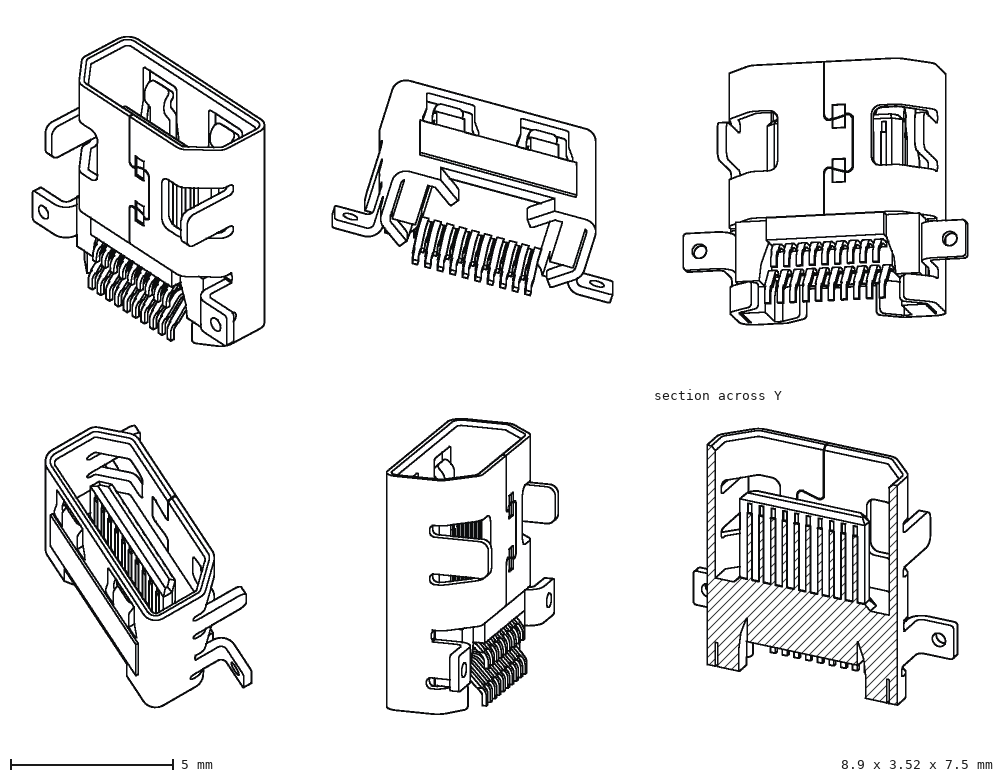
import cadquery as cq
import math


WIDTH = 6.5
DEPTH = 2.89
HEIGHT = 7.5
WALL = 0.285
BACK_RADIUS = 0.445
BEVEL_X, BEVEL_Y = 0.92, 0.96
BEVEL_SIDE_RADIUS = 0.39
BEVEL_FRONT_RADIUS = 0.445
MOUTH_CHAMFER = 0.13
HALF_WIDTH = WIDTH / 2
INNER_HALF = HALF_WIDTH - WALL
INNER_BACK = DEPTH - WALL

FRONT_BOTTOM = 2.69
SIDE_FRONT = 1.14
BEYOND = 0.445

WINDOW_BOTTOM, WINDOW_TOP = 4.16, 6.05
WINDOW_INNER_X = 1.48
WINDOW_RADIUS = 0.29
LEG_BOTTOM, LEG_TOP = 4.495, 5.68
LEG_REACH = 0.55
LEG_RADIUS = 0.285
LEG_SLOT_END = 1.36

FLANGE_BOTTOM, FLANGE_TOP = 1.16, 2.31
FLANGE_HALF_SPAN = 4.45
FLANGE_BEND_RADIUS = 0.2
FLANGE_CORNER_RADIUS = 0.12
FLANGE_HOLE_X = 3.94
FLANGE_HOLE_DIAMETER = 0.445
UPPER_SLOT_END = 1.31
LOWER_SLOT_END = 1.47
SLOT_RADIUS = 0.16

LIP_TOP = 0.81
LIP_START_Y = 1.28
LIP_BEND_RADIUS = 0.5
LIP_ANGLE = 54.0
LIP_LENGTH = 0.8
LIP_CORNER_RADIUS = 0.13

TAB_TOP = 1.04
TAB_HINGE_X = 1.87
TAB_LENGTH = 0.85
TAB_CORNER_RADIUS = 0.13
BACK_PAD_HALF = 2.5
BACK_PAD_THICKNESS = 0.08
BACK_PAD_BOTTOM, BACK_PAD_TOP = 1.61, 4.29
SPRING_X = 1.5
SPRING_WIDTH = 0.89
SPRING_ROOT, SPRING_WINDOW_TOP = 4.44, 6.91
SPRING_WINDOW_RADIUS = 0.12
SPRING_WINDOW_HALF_TOP, SPRING_WINDOW_HALF_BOTTOM = 0.765, 0.89
SPRING_TAPER_BOTTOM, SPRING_TAPER_TOP = 4.81, 5.6
SPRING_CREST_Y = 2.38
SPRING_BEND_Z, SPRING_CREST_BOTTOM, SPRING_CREST_TOP, SPRING_TIP_Z = 5.56, 5.945, 6.27, 6.5
SPRING_BEND_RADIUS = 0.11
SPRING_TIP_RADIUS = 0.18

SEAM_GAP = 0.03
SEAM_KEY_X = 0.91
SEAM_KEY_RADIUS = 0.2
SEAM_NECK_RADIUS = 0.16
SEAM_CENTRE_Z = 4.91
SEAM_HALF_NECK = 0.93
STAKE_X = 0.445
STAKE_WIDTH, STAKE_HEIGHT, STAKE_DEPTH = 0.39, 0.73, 0.07
STAKE_OFFSET = 0.85

FLOOR_Z = 3.03
BODY_HALF = 1.9
BODY_BOTTOM = 1.07
BODY_FRONT = 1.07
BLOCK_HALF, BLOCK_BOTTOM, BLOCK_FRONT = 1.85, 1.99, 0.06
WING_OUTER, WING_INNER = 2.89, 2.15
WING_FRONT, WING_BOTTOM = 0.43, 0.81
WING_STEP_X, WING_STEP_Z = 2.09, 1.335
POST_FRONT = 1.25
KEY_HALF, KEY_BACK, KEY_FRONT, KEY_HEIGHT = 0.7, 2.55, 2.41, 0.18

TONGUE_HALF = 2.14
TONGUE_FRONT, TONGUE_BACK = 1.16, 1.75
TONGUE_BEVEL = 0.285
TONGUE_TIP = 6.06
TIP_CHAMFER = 0.17
FLARE = 0.2

PITCH = 0.4
FRONT_ROW, BACK_ROW = 9, 10
CONTACT_WIDTH, CONTACT_TOP, CONTACT_RISE = 0.17, 5.465, 0.02
GROOVE_WIDTH, GROOVE_TOP, GROOVE_DEPTH = 0.13, 5.79, 0.045
PIN_THICKNESS = 0.13
PIN_WIDE, PIN_NARROW = 0.22, 0.17
UPPER_TAIL_BEND, LOWER_TAIL_BEND = 0.29, 0.13
FOOT_Y = PIN_THICKNESS / 2
UPPER_EXIT_Z, UPPER_BEND_Y, UPPER_FOOT_TOP, UPPER_FOOT_BOTTOM, UPPER_STEP_Z = 1.9, 0.46, 1.48, 1.14, 1.65
LOWER_EXIT_Z, LOWER_BEND_Y, LOWER_FOOT_TOP, LOWER_FOOT_BOTTOM, LOWER_STEP_Z = 1.13, 0.75, 0.41, 0.0, 0.56


def box(x0, x1, y0, y1, z0, z1):
    return cq.Workplane("XY").box(x1 - x0, y1 - y0, z1 - z0, centered=False).translate((x0, y0, z0))


def both_sides(solid):
    return solid.union(solid.mirror("YZ"))


def strip_outline(path, thickness):
    """Outline of a strip of constant thickness, mitred along a centre path."""
    headings = [math.atan2(b[1] - a[1], b[0] - a[0]) for a, b in zip(path, path[1:])]
    left, right = [], []
    for i, (u, v) in enumerate(path):
        before = headings[max(i - 1, 0)]
        after = headings[min(i, len(headings) - 1)]
        normal = (before + after) / 2 + math.pi / 2
        reach = thickness / 2 / math.cos((after - before) / 2)
        left.append((u + reach * math.cos(normal), v + reach * math.sin(normal)))
        right.append((u - reach * math.cos(normal), v - reach * math.sin(normal)))
    return left + right[::-1]


def strip_along_x(path, thickness, width, bend_radius):
    """Strip bent along a centre path of (y, z) points, with rounded bends, centred on x = 0."""
    outline = strip_outline(path, thickness)
    strip = cq.Workplane("YZ").polyline(outline).close().extrude(width / 2, both=True)
    for i in range(1, len(path) - 1):
        (y0, z0), (y1, z1), (y2, z2) = path[i - 1:i + 2]
        turns_left = (y1 - y0) * (z2 - z1) > (z1 - z0) * (y2 - y1)
        inside, outside = outline[i], outline[-1 - i]
        if not turns_left:
            inside, outside = outside, inside
        for corner, radius in ((inside, bend_radius), (outside, bend_radius + thickness)):
            strip = strip.edges("|X").edges(cq.NearestToPointSelector((0, *corner))).fillet(radius)
    return strip


def side_slot(z0, z1, end_y):
    """Slot through the left side wall, open at the front and rounded at its back end."""
    slot = box(-HALF_WIDTH - 0.09, -INNER_HALF + 0.09, -BEYOND, end_y, z0, z1)
    return slot.edges("|X and >Y").fillet(SLOT_RADIUS)


def row_positions(count):
    return [(i - (count - 1) / 2) * PITCH for i in range(count)]


def shell_prism(height):
    prism = (
        cq.Workplane("XY")
        .moveTo(-HALF_WIDTH, DEPTH)
        .lineTo(-HALF_WIDTH, BEVEL_Y)
        .lineTo(-HALF_WIDTH + BEVEL_X, 0)
        .lineTo(HALF_WIDTH - BEVEL_X, 0)
        .lineTo(HALF_WIDTH, BEVEL_Y)
        .lineTo(HALF_WIDTH, DEPTH)
        .close()
        .extrude(height)
    )
    prism = prism.edges("|Z and >Y").fillet(BACK_RADIUS)
    prism = prism.edges("|Z and <Y").fillet(BEVEL_FRONT_RADIUS)
    for side in (-1, 1):
        bend = cq.NearestToPointSelector((side * HALF_WIDTH, BEVEL_Y, height / 2))
        prism = prism.edges("|Z").edges(bend).fillet(BEVEL_SIDE_RADIUS)
    return prism


def cavity_prism(height):
    """Space inside the shell walls."""
    return shell_prism(height).faces("<Z").wires().toPending().offset2D(-WALL).extrude(height, combine=False)


def shell_tube():
    tube = shell_prism(HEIGHT).cut(cavity_prism(HEIGHT))
    mouth = cq.selectors.BoxSelector(
        (-INNER_HALF - 0.045, WALL - 0.045, HEIGHT - 0.045), (INNER_HALF + 0.045, INNER_BACK + 0.045, HEIGHT + 0.045),
        boundingbox=True)
    return tube.edges(mouth).chamfer(MOUTH_CHAMFER)


def front_window():
    opening = box(-HALF_WIDTH - 0.09, -WINDOW_INNER_X, -0.09, SIDE_FRONT, WINDOW_BOTTOM, WINDOW_TOP)
    opening = opening.edges("|Y and >X").fillet(WINDOW_RADIUS)
    lower = side_slot(WINDOW_BOTTOM, LEG_BOTTOM, LEG_SLOT_END)
    upper = side_slot(LEG_TOP, WINDOW_TOP, LEG_SLOT_END)
    return opening.union(lower).union(upper)


def leg():
    plate = box(-HALF_WIDTH, -INNER_HALF, -LEG_REACH, LEG_SLOT_END, LEG_BOTTOM, LEG_TOP)
    return plate.edges("|X and <Y").fillet(LEG_RADIUS)


def flange():
    inner_r = FLANGE_BEND_RADIUS
    outer_r = inner_r + WALL
    bend_x = -HALF_WIDTH - inner_r
    bend_y = WALL + inner_r
    diagonal = math.sqrt(0.5)
    plate = (
        cq.Workplane("XY")
        .workplane(offset=FLANGE_BOTTOM)
        .moveTo(-INNER_HALF, LOWER_SLOT_END)
        .lineTo(-INNER_HALF, bend_y)
        .threePointArc((bend_x + outer_r * diagonal, bend_y - outer_r * diagonal), (bend_x, 0))
        .lineTo(-FLANGE_HALF_SPAN, 0)
        .lineTo(-FLANGE_HALF_SPAN, WALL)
        .lineTo(bend_x, WALL)
        .threePointArc((bend_x + inner_r * diagonal, bend_y - inner_r * diagonal), (-HALF_WIDTH, bend_y))
        .lineTo(-HALF_WIDTH, LOWER_SLOT_END)
        .close()
        .extrude(FLANGE_TOP - FLANGE_BOTTOM)
    )
    plate = plate.edges("|Y and <X").fillet(FLANGE_CORNER_RADIUS)
    hole = (
        cq.Workplane("XZ")
        .center(-FLANGE_HOLE_X, (FLANGE_BOTTOM + FLANGE_TOP) / 2)
        .circle(FLANGE_HOLE_DIAMETER / 2)
        .extrude(WALL + BEYOND, both=True)
    )
    return plate.cut(hole)


def lip():
    """Side wall end folded inward at the bottom front corner."""
    angle = math.radians(LIP_ANGLE)
    outer_r = LIP_BEND_RADIUS
    inner_r = outer_r - WALL
    centre_x = -HALF_WIDTH + outer_r

    def on_bend(radius, turn):
        return (centre_x - radius * math.cos(turn), LIP_START_Y - radius * math.sin(turn))

    def past_bend(radius):
        x, y = on_bend(radius, angle)
        return (x + LIP_LENGTH * math.sin(angle), y - LIP_LENGTH * math.cos(angle))

    plate = (
        cq.Workplane("XY")
        .moveTo(-HALF_WIDTH, LOWER_SLOT_END)
        .lineTo(*on_bend(outer_r, 0))
        .threePointArc(on_bend(outer_r, angle / 2), on_bend(outer_r, angle))
        .lineTo(*past_bend(outer_r))
        .lineTo(*past_bend(inner_r))
        .lineTo(*on_bend(inner_r, angle))
        .threePointArc(on_bend(inner_r, angle / 2), on_bend(inner_r, 0))
        .lineTo(-INNER_HALF, LOWER_SLOT_END)
        .close()
        .extrude(LIP_TOP)
    )
    free_end = cq.selectors.BoxSelector(
        (past_bend(outer_r)[0] - 0.02, -0.09, -0.09), (0, LIP_START_Y, LIP_TOP + 0.09))
    return plate.edges("#Z").edges(free_end).edges("not |Z").fillet(LIP_CORNER_RADIUS)


def back_tab():
    """Tab of the back wall folded into the shell at the bottom."""
    angle = math.radians(90 - LIP_ANGLE)
    middle_y = DEPTH - WALL / 2
    path = [
        (-TAB_HINGE_X - WALL, middle_y),
        (-TAB_HINGE_X, middle_y),
        (-TAB_HINGE_X + TAB_LENGTH * math.cos(angle), middle_y - TAB_LENGTH * math.sin(angle)),
    ]
    tab = cq.Workplane("XY").polyline(strip_outline(path, WALL)).close().extrude(TAB_TOP)
    return tab.faces(">X").edges("#Z").fillet(TAB_CORNER_RADIUS)


def spring_window():
    half_top = SPRING_WINDOW_HALF_TOP
    half_bottom = SPRING_WINDOW_HALF_BOTTOM
    opening = (
        cq.Workplane("XZ")
        .polyline([
            (-half_top, SPRING_WINDOW_TOP),
            (-half_top, SPRING_TAPER_TOP),
            (-half_bottom, SPRING_TAPER_BOTTOM),
            (-half_bottom, SPRING_ROOT),
            (half_bottom, SPRING_ROOT),
            (half_bottom, SPRING_TAPER_BOTTOM),
            (half_top, SPRING_TAPER_TOP),
            (half_top, SPRING_WINDOW_TOP),
        ])
        .close()
        .extrude(-2 * WALL)
    )
    opening = opening.edges("|Y").edges(">Z or <Z").fillet(SPRING_WINDOW_RADIUS)
    return opening.translate((-SPRING_X, INNER_BACK - WALL / 2, 0))


def spring():
    middle_y = DEPTH - WALL / 2
    crest_y = SPRING_CREST_Y + WALL / 2
    path = [
        (middle_y, SPRING_ROOT - 0.09),
        (middle_y, SPRING_BEND_Z),
        (crest_y, SPRING_CREST_BOTTOM),
        (crest_y, SPRING_CREST_TOP),
        (middle_y, SPRING_TIP_Z),
    ]
    strip = strip_along_x(path, WALL, SPRING_WIDTH, SPRING_BEND_RADIUS)
    tip = strip.faces(cq.NearestToPointSelector((0, *path[-1]))).edges("not |X")
    return tip.fillet(SPRING_TIP_RADIUS).translate((-SPRING_X, 0, 0))


def seam():
    """Thin dovetail gap where the two ends of the shell sheet meet."""
    far_x = SEAM_KEY_X + BEYOND
    top = HEIGHT + BEYOND
    bottom = FRONT_BOTTOM - BEYOND
    upper, lower = SEAM_CENTRE_Z + SEAM_HALF_NECK, SEAM_CENTRE_Z - SEAM_HALF_NECK
    neck = SEAM_NECK_RADIUS
    key = SEAM_KEY_RADIUS
    neck_mid = neck * (1 - math.sqrt(0.5))
    key_mid = key * (1 - math.sqrt(0.5))
    right_part = (
        cq.Workplane("XZ")
        .moveTo(0, top)
        .lineTo(0, upper)
        .threePointArc((neck_mid, upper - neck + neck_mid), (neck, upper - neck))
        .lineTo(SEAM_KEY_X - key, upper)
        .threePointArc((SEAM_KEY_X - key_mid, upper - key_mid), (SEAM_KEY_X, upper - key))
        .lineTo(SEAM_KEY_X, lower + key)
        .threePointArc((SEAM_KEY_X - key_mid, lower + key_mid), (SEAM_KEY_X - key, lower))
        .lineTo(neck, lower + neck)
        .threePointArc((neck_mid, lower + neck - neck_mid), (0, lower))
        .lineTo(0, bottom)
        .lineTo(far_x, bottom)
        .lineTo(far_x, top)
        .close()
    )
    region = right_part.extrude(-WALL)
    grown = region.faces("<Y").wires().toPending().offset2D(SEAM_GAP).extrude(-WALL, combine=False)
    band = box(-0.09, far_x - 0.09, 0, WALL, FRONT_BOTTOM, HEIGHT)
    return grown.cut(region).intersect(band)


def build_shell():
    shell = shell_tube()
    shell = shell.cut(box(-HALF_WIDTH - 0.09, HALF_WIDTH + 0.09, -0.09, LIP_START_Y, -0.09, FRONT_BOTTOM))
    shell = shell.cut(both_sides(front_window()))
    shell = shell.cut(both_sides(side_slot(FLANGE_TOP, FRONT_BOTTOM, UPPER_SLOT_END)))
    shell = shell.cut(box(-TAB_HINGE_X, TAB_HINGE_X, INNER_BACK - 0.09, DEPTH + 0.09, -0.09, TAB_TOP))
    shell = shell.cut(both_sides(spring_window()))
    shell = shell.cut(seam())
    for side in (-1, 1):
        stake = cq.Workplane("XY").box(STAKE_WIDTH, 2 * STAKE_DEPTH, STAKE_HEIGHT)
        shell = shell.cut(stake.translate((STAKE_X, 0, SEAM_CENTRE_Z + side * STAKE_OFFSET)))
    for part in (leg(), flange(), lip(), back_tab(), spring()):
        shell = shell.union(both_sides(part))
    shell = shell.cut(both_sides(side_slot(LIP_TOP, FLANGE_BOTTOM, LOWER_SLOT_END)))
    return shell.union(box(-BACK_PAD_HALF, BACK_PAD_HALF, INNER_BACK, DEPTH + BACK_PAD_THICKNESS,
                           BACK_PAD_BOTTOM, BACK_PAD_TOP))


def tongue_outline(spread):
    """Tongue cross-section with bevelled front corners, offset outward by a spread."""
    half = TONGUE_HALF + spread
    front = TONGUE_FRONT - spread
    back = TONGUE_BACK + spread
    bevel = TONGUE_BEVEL + spread * (2 - math.sqrt(2))
    return [
        (-half, back),
        (-half, front + bevel),
        (-half + bevel, front),
        (half - bevel, front),
        (half, front + bevel),
        (half, back),
    ]


def tongue():
    base = cq.Workplane("XY").workplane(offset=FLOOR_Z)
    blade = base.polyline(tongue_outline(0)).close().extrude(TONGUE_TIP - FLOOR_Z)
    blade = blade.faces(">Z").chamfer(TIP_CHAMFER)
    root = base.polyline(tongue_outline(FLARE)).close().extrude(FLARE, taper=45)
    return blade.union(root)


def wing():
    outline = [
        (-WING_OUTER, FRONT_BOTTOM),
        (-BLOCK_HALF, FRONT_BOTTOM),
        (-BLOCK_HALF, BLOCK_BOTTOM),
        (-WING_STEP_X, WING_STEP_Z),
        (-WING_INNER, WING_BOTTOM),
        (-WING_OUTER, WING_BOTTOM),
    ]
    return (
        cq.Workplane("XZ", origin=(0, WING_FRONT, 0))
        .polyline(outline)
        .close()
        .extrude(-(INNER_BACK - WING_FRONT))
    )


def build_insulator():
    inner = cavity_prism(FLOOR_Z)
    body = inner.intersect(box(-HALF_WIDTH, HALF_WIDTH, 0, DEPTH, FRONT_BOTTOM, FLOOR_Z))
    body = body.union(box(-BODY_HALF, BODY_HALF, BODY_FRONT, INNER_BACK, BODY_BOTTOM, FLOOR_Z))
    body = body.union(box(-BLOCK_HALF, BLOCK_HALF, BLOCK_FRONT, DEPTH / 2, BLOCK_BOTTOM, FRONT_BOTTOM))
    body = body.union(both_sides(wing()))
    filler = box(-INNER_HALF, -WING_INNER, UPPER_SLOT_END, DEPTH, WING_BOTTOM, FRONT_BOTTOM)
    body = body.union(both_sides(filler.intersect(inner)))
    body = body.union(both_sides(box(-WING_OUTER, -WING_INNER, POST_FRONT, INNER_BACK, 0, WING_BOTTOM)))
    body = body.union(box(-KEY_HALF, KEY_HALF, KEY_FRONT, KEY_BACK, FLOOR_Z, FLOOR_Z + KEY_HEIGHT))
    return body.union(tongue())


def contact_strip(x, face_y):
    return box(x - CONTACT_WIDTH / 2, x + CONTACT_WIDTH / 2,
               face_y - CONTACT_RISE, face_y + CONTACT_RISE, FLOOR_Z, CONTACT_TOP)


def contact_groove(x, face_y):
    return box(x - GROOVE_WIDTH / 2, x + GROOVE_WIDTH / 2,
               face_y - GROOVE_DEPTH, face_y + GROOVE_DEPTH, CONTACT_TOP, GROOVE_TOP)


def solder_tail(exit_z, bend_y, foot_top, foot_bottom, step_z, bend_radius):
    """Pin that leaves the insulator level, slopes down to the mounting face and ends in an upright foot."""
    path = [(BODY_FRONT + 0.09, exit_z), (bend_y, exit_z), (FOOT_Y, foot_top), (FOOT_Y, foot_bottom)]
    narrow = strip_along_x(path, PIN_THICKNESS, PIN_NARROW, bend_radius)
    wide = strip_along_x(path, PIN_THICKNESS, PIN_WIDE, bend_radius)
    return narrow.union(wide.intersect(box(-PIN_WIDE, PIN_WIDE, 0, DEPTH, step_z, HEIGHT)))


upper_tail = solder_tail(
    UPPER_EXIT_Z, UPPER_BEND_Y, UPPER_FOOT_TOP, UPPER_FOOT_BOTTOM, UPPER_STEP_Z, UPPER_TAIL_BEND)
lower_tail = solder_tail(
    LOWER_EXIT_Z, LOWER_BEND_Y, LOWER_FOOT_TOP, LOWER_FOOT_BOTTOM, LOWER_STEP_Z, LOWER_TAIL_BEND)

result = build_shell().union(build_insulator())
for row, face, tail in ((FRONT_ROW, TONGUE_FRONT, upper_tail), (BACK_ROW, TONGUE_BACK, lower_tail)):
    for pin_x in row_positions(row):
        result = result.cut(contact_groove(pin_x, face))
        result = result.union(contact_strip(pin_x, face))
        result = result.union(tail.translate((pin_x, 0, 0)))